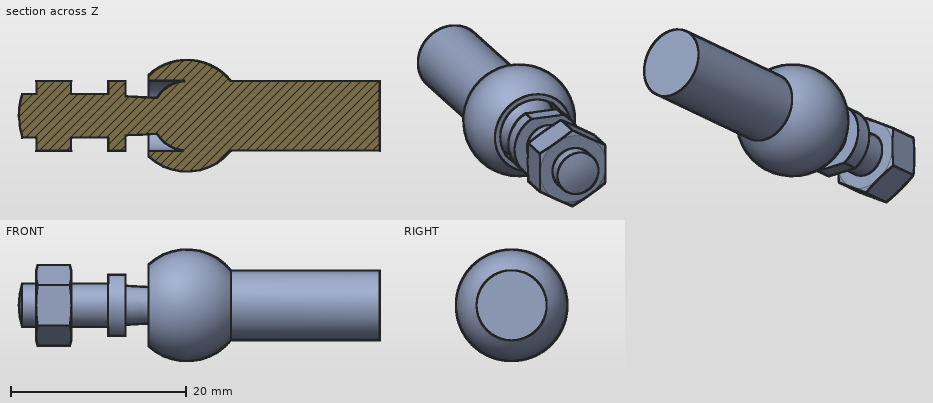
import cadquery as cq
import math


socket_radius = 12.8 / 2
shank_radius = 8.0 / 2
shank_end_x = 22.0
mouth_x = -4.4

ball_radius = 8.0 / 2
neck_ball_radius = 4.13 / 2
neck_collar_radius = 4.5 / 2
stud_radius = 5.0 / 2
stud_tip_x = -19.2
dome_height = 0.4

collar_radius = 8.0 / 2
collar_flats_width = 7.0
collar_start_x = -9.0
collar_length = 2.0

nut_across_flats = 8.0
nut_start_x = -17.2
nut_length = 4.0
nut_chamfer_angle = math.radians(15)

collar_end_x = collar_start_x + collar_length
dome_base_x = stud_tip_x + dome_height


def sphere_offset(sphere_radius, circle_radius):
    """Distance from a sphere's centre to its circle of the given radius."""
    return math.sqrt(sphere_radius**2 - circle_radius**2)


def x_cylinder(start_x, length, radius):
    return cq.Workplane("YZ", origin=(start_x, 0, 0)).circle(radius).extrude(length)


def revolve_about_x(outline):
    return outline.close().revolve(360, (0, 0, 0), (1, 0, 0))


def make_socket_and_ball():
    """Shank, socket, open bore and ball, with the tapered neck up to the collar."""
    shank_joint_x = sphere_offset(socket_radius, shank_radius)
    mouth_radius = sphere_offset(socket_radius, mouth_x)
    neck_joint_x = -sphere_offset(ball_radius, neck_ball_radius)
    ball_mid = ball_radius * math.sqrt(0.5)
    outline = (
        cq.Workplane("XY")
        .moveTo(shank_end_x, 0)
        .lineTo(shank_end_x, shank_radius)
        .lineTo(shank_joint_x, shank_radius)
        .threePointArc((0, socket_radius), (mouth_x, mouth_radius))
        .lineTo(mouth_x, ball_radius)
        .lineTo(0, ball_radius)
        .threePointArc((-ball_mid, ball_mid), (neck_joint_x, neck_ball_radius))
        .lineTo(collar_end_x, neck_collar_radius)
        .lineTo(collar_end_x, 0)
    )
    return revolve_about_x(outline)


def make_stud():
    """Round stud with a domed tip."""
    dome_radius = (stud_radius**2 + dome_height**2) / (2 * dome_height)
    half_height = stud_radius / 2
    half_height_x = stud_tip_x + dome_radius - sphere_offset(dome_radius, half_height)
    outline = (
        cq.Workplane("XY")
        .moveTo(stud_tip_x, 0)
        .threePointArc((half_height_x, half_height), (dome_base_x, stud_radius))
        .lineTo(collar_start_x, stud_radius)
        .lineTo(collar_start_x, 0)
    )
    return revolve_about_x(outline)


def make_collar():
    """Round collar with two wrench flats facing up and down."""
    flats = cq.Workplane("XY").box(collar_length, 2 * collar_radius, collar_flats_width)
    flats = flats.translate((collar_start_x + collar_length / 2, 0, 0))
    return x_cylinder(collar_start_x, collar_length, collar_radius).intersect(flats)


def make_nut():
    """Hexagon nut with corners up and down, chamfered at both ends."""
    corner_radius = nut_across_flats / 2 / math.cos(math.pi / 6)
    chamfer_width = corner_radius - nut_across_flats / 2
    chamfer_length = chamfer_width * math.tan(nut_chamfer_angle)
    corners = [
        (corner_radius * math.sin(i * math.pi / 3), corner_radius * math.cos(i * math.pi / 3))
        for i in range(6)
    ]
    hexagon = (
        cq.Workplane("YZ", origin=(nut_start_x, 0, 0))
        .polyline(corners)
        .close()
        .extrude(nut_length)
    )
    chamfered_round = (
        x_cylinder(nut_start_x, nut_length, corner_radius)
        .faces("<X")
        .chamfer(chamfer_length, chamfer_width)
        .faces(">X")
        .chamfer(chamfer_length, chamfer_width)
    )
    return hexagon.intersect(chamfered_round)


result = make_socket_and_ball().union(make_collar()).union(make_stud()).union(make_nut())